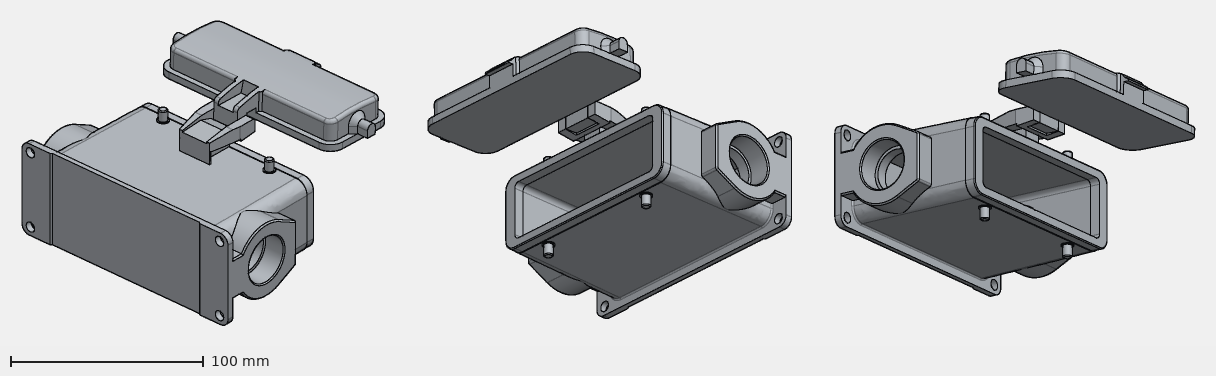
import cadquery as cq
import math


SELECT_MARGIN = 0.1

FLANGE_LENGTH = 144.0
FLANGE_HEIGHT = 55.6
FLANGE_THICK = 3.9
FLANGE_CORNER = 5.2
SCREW_HOLE_DIA = 5.8
SCREW_HOLE_X = 66.1
SCREW_HOLE_Z = 22.6
RELIEF_HALF_LENGTH = 52.4
RELIEF_DEPTH = 0.9
RELIEF_SLOPE = 1.2

SHELL_BASE_X = 61.3
SHELL_BASE_Z = 22.6
SHELL_MOUTH_X = 60.0
SHELL_MOUTH_Z = 21.9
SHELL_CORNER = 7.6
SHELL_ROOT_FILLET = 0.9
SHELL_END_Y = 74.7
CAVITY_HALF_X = 52.4
CAVITY_HALF_Z = 16.5
CAVITY_CORNER = 2.9
CAVITY_FLOOR_Y = 7.2

ENTRY_Y = 30.1
ENTRY_RADIUS = 22.2
ENTRY_FRONT_Y = 53.3
ENTRY_FRONT_HALF_Z = 13.2
ENTRY_NECK_HALF_Z = 12.0
ENTRY_INNER_X = 53.3
ENTRY_EDGE_CHAMFER = 0.9
ENTRY_NOSE_ROUND = 1.5
ENTRY_BORE_RADIUS = 11.8
ENTRY_COUNTERBORE_RADIUS = 13.5
ENTRY_COUNTERBORE_DEPTH = 13.0
ENTRY_LEAD_IN = 0.7

STUD_X = 37.2
STUD_Y = 70.8
STUD_RADIUS = 2.52
STUD_TIP_Z = 29.0
STUD_TIP_CHAMFER = 0.6
STUD_COLLAR_RADIUS = 3.38
STUD_COLLAR_Z = 22.5
STUD_ROOT_Z = 20.2

SEAL_THICK = 5.8
SEAL_HALF_X = 59.9
SEAL_HALF_Z = 21.5
SEAL_CORNER = 7.0
SEAL_EDGE = 0.6

COVER_CENTRE_Y = 115.9
COVER_PIVOT_Z = 39.3
COVER_TILT = -1.4
RIM_HALF_X = 61.0
RIM_HALF_Y = 23.3
RIM_CORNER = 8.6
RIM_BOTTOM_Z = 30.7
RIM_TOP_Z = 34.8
CAP_HALF_X = 57.6
CAP_HALF_Y = 19.9
CAP_CORNER = 5.2
CAP_CROWN_Z = 48.4
CAP_CROWN_RADIUS = 129.6
CAP_EDGE_ROUND = 2.2
CAP_ROOT_FILLET = 1.3

PEG_TIP_X = 68.0
PEG_RADIUS = 3.0
PEG_ROOT_RADIUS = 6.3

TAB_HALF_X = 9.0
TAB_LIP_Y = 26.2
TAB_LIP_BOTTOM_Z = 41.9
TAB_LIP_THICK = 2.0
TAB_SLOPE_Y = 21.7

ARM_HALF_X = 8.2
ARM_END_Y = -37.7
ARM_KNUCKLE_Y = -30.2
ARM_BOTTOM_Z = 37.6
ARM_KNUCKLE_BOTTOM_Z = 28.8
ARM_END_ROUND = 2.6
ARM_SLOT_HALF_X = 5.2
ARM_SLOT_START_Y = -18.0
ARM_SLOT_FLOOR_START_Y = -20.0
ARM_SLOT_FLOOR_Z = 39.9

BRACKET_BACK_Y = 85.5
BRACKET_TAPER_Y = 74.0
BRACKET_FRONT_Y = 54.0
BRACKET_BACK_HALF_X = 14.0
BRACKET_FRONT_HALF_X = 10.5
BRACKET_GAP_HALF_X = 8.5
WING_TOP_Z = 37.6
WING_SLOPE_Y = 69.1
WING_FRONT_Z = 35.1
WING_BOTTOM_Z = 29.5
WING_KEEL_Z = 28.4
WING_BACK_BEVEL = 1.0
BRIDGE_BACK_Y = 77.8
BRIDGE_BACK_Z = 31.4
BRIDGE_STEP_Y = 76.2
BRIDGE_STEP_Z = 32.5
BRIDGE_CREST_Y = 68.4
BRIDGE_CREST_Z = 35.0
BRIDGE_FRONT_Z = 34.1
FOOT_BACK_Y = 74.7
FOOT_HALF_X = 5.8
FOOT_FLARE_START_Y = 60.2
FOOT_FLARE_END_Y = 55.0


def rounded_rect(half_x, half_z, corner):
    """Rounded outline for a plane that looks along +Y."""
    return cq.Sketch().rect(2 * half_z, 2 * half_x).vertices().fillet(corner)


def plane_at_y(y):
    return cq.Workplane("ZX", origin=(0, y, 0))


def side_profile(points, half_x):
    """Prism from a Y-Z outline, centred on X = 0."""
    return cq.Workplane("YZ").polyline(points).close().extrude(half_x, both=True)


def shell_half_z(y):
    """Half height of the drafted shell at a given Y."""
    share = (y - FLANGE_THICK) / (SHELL_END_Y - FLANGE_THICK)
    return SHELL_BASE_Z + share * (SHELL_MOUTH_Z - SHELL_BASE_Z)


def make_flange():
    flange = plane_at_y(0).placeSketch(
        rounded_rect(FLANGE_LENGTH / 2, FLANGE_HEIGHT / 2, FLANGE_CORNER)
    ).extrude(FLANGE_THICK)
    relief = (
        cq.Workplane("XY")
        .polyline([
            (-RELIEF_HALF_LENGTH, 0),
            (-RELIEF_HALF_LENGTH + RELIEF_SLOPE, RELIEF_DEPTH),
            (RELIEF_HALF_LENGTH - RELIEF_SLOPE, RELIEF_DEPTH),
            (RELIEF_HALF_LENGTH, 0),
        ])
        .close()
        .extrude(FLANGE_HEIGHT, both=True)
    )
    return flange.cut(relief)


def make_screw_holes():
    return (
        plane_at_y(0)
        .rect(2 * SCREW_HOLE_Z, 2 * SCREW_HOLE_X, forConstruction=True)
        .vertices()
        .circle(SCREW_HOLE_DIA / 2)
        .extrude(FLANGE_THICK)
    )


def make_shell():
    base = rounded_rect(SHELL_BASE_X, SHELL_BASE_Z, SHELL_CORNER)
    mouth = rounded_rect(SHELL_MOUTH_X, SHELL_MOUTH_Z, SHELL_CORNER)
    draft_length = SHELL_END_Y - FLANGE_THICK
    return (
        plane_at_y(FLANGE_THICK)
        .placeSketch(base, mouth.moved(cq.Location(cq.Vector(0, 0, draft_length))))
        .loft(ruled=True)
    )


def make_cavity():
    """Pocket from near the flange out through the seal."""
    return plane_at_y(CAVITY_FLOOR_Y).placeSketch(
        rounded_rect(CAVITY_HALF_X, CAVITY_HALF_Z, CAVITY_CORNER)
    ).extrude(SHELL_END_Y + SEAL_THICK - CAVITY_FLOOR_Y)


def make_entry_boss():
    """Boss on the +X side: a round with a flat nose towards the mouth and a neck to the flange."""
    nose_y = ENTRY_FRONT_Y - ENTRY_Y
    nose_distance = math.hypot(nose_y, ENTRY_FRONT_HALF_Z)
    tangent_angle = math.atan2(ENTRY_FRONT_HALF_Z, nose_y) + math.acos(ENTRY_RADIUS / nose_distance)
    tangent_y = ENTRY_Y + ENTRY_RADIUS * math.cos(tangent_angle)
    tangent_z = ENTRY_RADIUS * math.sin(tangent_angle)
    neck_y = ENTRY_Y - math.sqrt(ENTRY_RADIUS**2 - ENTRY_NECK_HALF_Z**2)
    boss = (
        cq.Workplane("YZ", origin=(ENTRY_INNER_X, 0, 0))
        .moveTo(ENTRY_FRONT_Y, -ENTRY_FRONT_HALF_Z)
        .lineTo(ENTRY_FRONT_Y, ENTRY_FRONT_HALF_Z)
        .lineTo(tangent_y, tangent_z)
        .threePointArc((ENTRY_Y, ENTRY_RADIUS), (neck_y, ENTRY_NECK_HALF_Z))
        .lineTo(FLANGE_THICK, ENTRY_NECK_HALF_Z)
        .lineTo(FLANGE_THICK, -ENTRY_NECK_HALF_Z)
        .lineTo(neck_y, -ENTRY_NECK_HALF_Z)
        .threePointArc((ENTRY_Y, -ENTRY_RADIUS), (tangent_y, -tangent_z))
        .close()
        .extrude(FLANGE_LENGTH / 2 - ENTRY_INNER_X)
    )
    boss = boss.faces(">Y").edges("|X").fillet(ENTRY_NOSE_ROUND)
    outer_edges = boss.faces(">X").edges(cq.selectors.BoxSelector(
        (ENTRY_INNER_X, FLANGE_THICK + SELECT_MARGIN, -SHELL_BASE_X),
        (FLANGE_LENGTH, FLANGE_LENGTH, SHELL_BASE_X),
    ))
    return outer_edges.chamfer(ENTRY_EDGE_CHAMFER)


def make_entry_bore():
    """Stepped bore through the +X entry into the cavity."""
    face_x = FLANGE_LENGTH / 2
    step_x = face_x - ENTRY_COUNTERBORE_DEPTH
    return (
        cq.Workplane("XY")
        .polyline([
            (0, 0),
            (0, ENTRY_BORE_RADIUS),
            (step_x, ENTRY_BORE_RADIUS),
            (step_x, ENTRY_COUNTERBORE_RADIUS),
            (face_x - ENTRY_LEAD_IN, ENTRY_COUNTERBORE_RADIUS),
            (face_x, ENTRY_COUNTERBORE_RADIUS + ENTRY_LEAD_IN),
            (face_x, 0),
        ])
        .close()
        .revolve(360, (0, 0, 0), (1, 0, 0))
        .translate((0, ENTRY_Y, 0))
    )


def make_stud():
    """Upper stud with its collar, standing on the Z axis."""
    root = cq.Workplane("XY", origin=(0, 0, STUD_ROOT_Z))
    pin = root.circle(STUD_RADIUS).extrude(STUD_TIP_Z - STUD_ROOT_Z)
    pin = pin.faces(">Z").chamfer(STUD_TIP_CHAMFER)
    collar = root.circle(STUD_COLLAR_RADIUS).extrude(STUD_COLLAR_Z - STUD_ROOT_Z)
    return pin.union(collar)


def make_housing():
    boss = make_entry_boss()
    bore = make_entry_bore()
    stud = make_stud()
    housing = make_flange().union(make_shell())
    housing = housing.edges(cq.selectors.BoxSelector(
        (-SHELL_BASE_X - SELECT_MARGIN, FLANGE_THICK - SELECT_MARGIN, -SHELL_BASE_Z - SELECT_MARGIN),
        (SHELL_BASE_X + SELECT_MARGIN, FLANGE_THICK + SELECT_MARGIN, SHELL_BASE_Z + SELECT_MARGIN),
    )).fillet(SHELL_ROOT_FILLET)
    housing = housing.union(boss).union(boss.mirror("YZ"))
    housing = housing.cut(make_screw_holes())
    housing = housing.cut(make_cavity())
    housing = housing.cut(bore).cut(bore.mirror("YZ"))
    for x in (-STUD_X, STUD_X):
        upper = stud.translate((x, STUD_Y, 0))
        housing = housing.union(upper).union(upper.mirror("XY"))
    return housing


def make_seal():
    ring = plane_at_y(SHELL_END_Y).placeSketch(
        rounded_rect(SEAL_HALF_X, SEAL_HALF_Z, SEAL_CORNER)
    ).extrude(SEAL_THICK)
    ring = ring.faces(">Y").chamfer(SEAL_EDGE)
    return ring.cut(make_cavity())


def crown_z(y):
    """Height of the crowned cover top at a given distance from its centre."""
    return CAP_CROWN_Z - CAP_CROWN_RADIUS + math.sqrt(CAP_CROWN_RADIUS**2 - y**2)


def cover_plate(half_x, half_y, corner, bottom, top):
    return (
        cq.Workplane("XY", origin=(0, 0, bottom))
        .rect(2 * half_x, 2 * half_y)
        .extrude(top - bottom)
        .edges("|Z")
        .fillet(corner)
    )


def make_cap():
    cap = cover_plate(CAP_HALF_X, CAP_HALF_Y, CAP_CORNER, RIM_TOP_Z, CAP_CROWN_Z + CAP_EDGE_ROUND)
    crown = (
        cq.Workplane("YZ", origin=(-RIM_HALF_X, 0, 0))
        .center(0, CAP_CROWN_Z - CAP_CROWN_RADIUS)
        .circle(CAP_CROWN_RADIUS)
        .extrude(2 * RIM_HALF_X)
    )
    return cap.intersect(crown).faces(">Z").edges().fillet(CAP_EDGE_ROUND)


def arch_outline(plane, radius):
    """Outline with a half-round top and straight sides down to the rim."""
    drop = RIM_TOP_Z - COVER_PIVOT_Z
    return (
        plane.moveTo(-radius, drop)
        .lineTo(-radius, 0)
        .threePointArc((0, radius), (radius, 0))
        .lineTo(radius, drop)
        .close()
    )


def make_peg():
    """Locking peg on the +X end with its flared root."""
    root_plane = cq.Workplane("YZ", origin=(CAP_HALF_X, 0, COVER_PIVOT_Z))
    root = arch_outline(root_plane, PEG_ROOT_RADIUS).workplane(offset=RIM_HALF_X - CAP_HALF_X)
    root = arch_outline(root, PEG_RADIUS).loft(ruled=True)
    pin_plane = cq.Workplane("YZ", origin=(CAP_HALF_X, 0, COVER_PIVOT_Z))
    pin = arch_outline(pin_plane, PEG_RADIUS).extrude(PEG_TIP_X - CAP_HALF_X)
    return root.union(pin)


def flared_plan(half_x, end_y):
    """Prism of constant width that flares with a fillet where it leaves the cap wall towards +Y."""
    root_half_x = half_x + CAP_ROOT_FILLET
    root_y = CAP_HALF_Y + CAP_ROOT_FILLET
    return (
        cq.Workplane("XY")
        .moveTo(-root_half_x, 0)
        .lineTo(-root_half_x, CAP_HALF_Y)
        .radiusArc((-half_x, root_y), CAP_ROOT_FILLET)
        .lineTo(-half_x, end_y)
        .lineTo(half_x, end_y)
        .lineTo(half_x, root_y)
        .radiusArc((root_half_x, CAP_HALF_Y), CAP_ROOT_FILLET)
        .lineTo(root_half_x, 0)
        .close()
        .extrude(CAP_CROWN_Z)
    )


def make_tab():
    """Finger tab with an overhanging lip on the far side of the cover."""
    inner_y = CAP_HALF_Y - 2 * CAP_EDGE_ROUND
    middle_y = (inner_y + TAB_SLOPE_Y) / 2
    tab = (
        cq.Workplane("YZ")
        .moveTo(inner_y, RIM_TOP_Z)
        .lineTo(inner_y, crown_z(inner_y))
        .threePointArc((middle_y, crown_z(middle_y)), (TAB_SLOPE_Y, crown_z(TAB_SLOPE_Y)))
        .lineTo(TAB_LIP_Y - TAB_LIP_THICK, TAB_LIP_BOTTOM_Z + TAB_LIP_THICK)
        .radiusArc((TAB_LIP_Y, TAB_LIP_BOTTOM_Z), TAB_LIP_THICK)
        .lineTo(RIM_HALF_Y, TAB_LIP_BOTTOM_Z)
        .lineTo(RIM_HALF_Y, RIM_TOP_Z)
        .close()
        .extrude(2 * TAB_HALF_X, both=True)
    )
    return tab.intersect(flared_plan(TAB_HALF_X, TAB_LIP_Y))


def make_arm():
    """Hinge arm that carries on the crowned top, ends in a knuckle and has a slot in its top."""
    root_y = -CAP_HALF_Y + 2 * CAP_EDGE_ROUND
    middle_y = (root_y + ARM_END_Y) / 2
    arm = (
        cq.Workplane("YZ")
        .moveTo(root_y, RIM_TOP_Z)
        .lineTo(root_y, crown_z(root_y))
        .threePointArc((middle_y, crown_z(middle_y)), (ARM_END_Y, crown_z(ARM_END_Y)))
        .lineTo(ARM_END_Y, ARM_KNUCKLE_BOTTOM_Z)
        .lineTo(ARM_KNUCKLE_Y, ARM_KNUCKLE_BOTTOM_Z)
        .lineTo(ARM_KNUCKLE_Y, ARM_BOTTOM_Z)
        .lineTo(-RIM_HALF_Y, ARM_BOTTOM_Z)
        .lineTo(-RIM_HALF_Y, RIM_TOP_Z)
        .close()
        .extrude(2 * ARM_HALF_X, both=True)
    )
    arm = arm.intersect(flared_plan(ARM_HALF_X, -ARM_END_Y).mirror("XZ"))
    arm = arm.faces("<Y").edges(">Z").fillet(ARM_END_ROUND)
    slot = side_profile([
        (ARM_SLOT_FLOOR_START_Y, ARM_SLOT_FLOOR_Z),
        (ARM_SLOT_START_Y, CAP_CROWN_Z),
        (ARM_END_Y, CAP_CROWN_Z),
        (ARM_END_Y, ARM_SLOT_FLOOR_Z),
    ], ARM_SLOT_HALF_X)
    return arm, slot


def make_cover():
    peg = make_peg()
    arm, slot = make_arm()
    cover = cover_plate(RIM_HALF_X, RIM_HALF_Y, RIM_CORNER, RIM_BOTTOM_Z, RIM_TOP_Z)
    cover = cover.union(make_cap()).union(peg).union(peg.mirror("YZ"))
    cover = cover.union(make_tab()).union(arm).cut(slot)
    cover = cover.rotate((0, 0, COVER_PIVOT_Z), (1, 0, COVER_PIVOT_Z), COVER_TILT)
    return cover.translate((0, COVER_CENTRE_Y, 0))


def symmetric_plan(right_side, bottom, top):
    """Prism from the +X half of an X-Y outline and its mirror image."""
    left_side = [(-x, y) for x, y in reversed(right_side)]
    return (
        cq.Workplane("XY", origin=(0, 0, bottom))
        .polyline(right_side + left_side)
        .close()
        .extrude(top - bottom)
    )


def make_bracket_wings():
    """Tapered block whose top slopes down to the front, slotted to leave two wings and a bridge."""
    plan = symmetric_plan([
        (BRACKET_BACK_HALF_X, BRACKET_BACK_Y),
        (BRACKET_BACK_HALF_X, BRACKET_TAPER_Y),
        (BRACKET_FRONT_HALF_X, BRACKET_FRONT_Y),
    ], 0, WING_TOP_Z)
    side = side_profile([
        (BRACKET_BACK_Y, WING_BOTTOM_Z),
        (BRACKET_BACK_Y, WING_TOP_Z - WING_BACK_BEVEL),
        (BRACKET_BACK_Y - WING_BACK_BEVEL, WING_TOP_Z),
        (WING_SLOPE_Y, WING_TOP_Z),
        (BRACKET_FRONT_Y, WING_FRONT_Z),
        (BRACKET_FRONT_Y, WING_BOTTOM_Z),
        (FOOT_BACK_Y, WING_BOTTOM_Z),
        (FOOT_BACK_Y, WING_KEEL_Z),
    ], BRACKET_BACK_HALF_X)
    gap = side_profile([
        (BRACKET_BACK_Y, WING_KEEL_Z),
        (BRIDGE_BACK_Y, WING_KEEL_Z),
        (BRIDGE_BACK_Y, BRIDGE_BACK_Z),
        (BRIDGE_STEP_Y, BRIDGE_STEP_Z),
        (BRIDGE_CREST_Y, BRIDGE_CREST_Z),
        (BRACKET_FRONT_Y, BRIDGE_FRONT_Z),
        (BRACKET_FRONT_Y, WING_TOP_Z),
        (BRACKET_BACK_Y, WING_TOP_Z),
    ], BRACKET_GAP_HALF_X)
    return plan.intersect(side).cut(gap)


def make_bracket_foot():
    """Foot that stands on the drafted shell and flares out to the front plate."""
    foot = symmetric_plan([
        (FOOT_HALF_X, FOOT_BACK_Y),
        (FOOT_HALF_X, FOOT_FLARE_START_Y),
        (BRACKET_FRONT_HALF_X, FOOT_FLARE_END_Y),
        (BRACKET_FRONT_HALF_X, BRACKET_FRONT_Y),
    ], 0, WING_BOTTOM_Z)
    above_shell = side_profile([
        (FOOT_BACK_Y, shell_half_z(FOOT_BACK_Y)),
        (BRACKET_FRONT_Y, shell_half_z(BRACKET_FRONT_Y)),
        (BRACKET_FRONT_Y, WING_BOTTOM_Z),
        (FOOT_BACK_Y, WING_BOTTOM_Z),
    ], BRACKET_FRONT_HALF_X)
    return foot.intersect(above_shell)


def make_bracket():
    return make_bracket_wings().union(make_bracket_foot())


housing = make_housing().solids()
seal = make_seal().solids()
cover = make_cover().solids()
bracket = make_bracket().solids()

result = cq.Compound.makeCompound([housing.val(), seal.val(), cover.val(), bracket.val()])